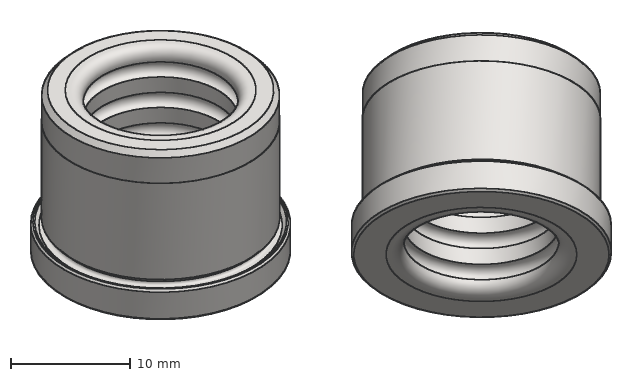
import cadquery as cq

total_height = 16.0
flange_radius = 10.9
flange_height = 3.0
flange_chamfer = 0.2

body_radius = 10.0
lead_radius = 9.98
lead_length = 3.0
body_chamfer = 0.5

undercut_outer_radius = 10.55
undercut_inner_radius = 10.2
undercut_depth = 0.3
undercut_fillet = 0.3

liner_radius = 8.0
bore_radius = 6.5
mouth_round = 1.0
groove_count = 5
groove_pitch = 3.0
groove_radius = 0.75


def revolve_about_z(profile):
    """Turn a closed radius-height profile once around the Z axis."""
    return profile.revolve(360, (0, 0, 0), (0, 1, 0))


def make_sleeve():
    """Flanged sleeve with a plain bore for the liner."""
    neck_radius = body_radius - body_chamfer
    undercut_floor = flange_height - undercut_depth
    lead_bottom = total_height - lead_length
    profile = (
        cq.Workplane("XZ")
        .moveTo(liner_radius, 0)
        .lineTo(flange_radius - flange_chamfer, 0)
        .lineTo(flange_radius, flange_chamfer)
        .lineTo(flange_radius, flange_height - flange_chamfer)
        .lineTo(flange_radius - flange_chamfer, flange_height)
        .lineTo(undercut_outer_radius, flange_height)
        .lineTo(undercut_inner_radius, undercut_floor)
        .lineTo(neck_radius + undercut_fillet, undercut_floor)
        .radiusArc((neck_radius, undercut_floor + undercut_fillet), undercut_fillet)
        .lineTo(body_radius, undercut_floor + undercut_fillet + body_chamfer)
        .lineTo(body_radius, lead_bottom)
        .lineTo(lead_radius, lead_bottom)
        .lineTo(lead_radius, total_height - body_chamfer)
        .lineTo(lead_radius - body_chamfer, total_height)
        .lineTo(liner_radius, total_height)
        .close()
    )
    return revolve_about_z(profile)


def make_liner():
    """Liner filling the sleeve, with round grooves evenly spaced along its bore."""
    mouth_radius = bore_radius + mouth_round
    top_groove = total_height / 2 + groove_pitch * (groove_count - 1) / 2
    profile = (
        cq.Workplane("XZ")
        .moveTo(mouth_radius, 0)
        .lineTo(liner_radius, 0)
        .lineTo(liner_radius, total_height)
        .lineTo(mouth_radius, total_height)
        .radiusArc((bore_radius, total_height - mouth_round), -mouth_round)
    )
    for index in range(groove_count):
        middle = top_groove - index * groove_pitch
        profile = profile.lineTo(bore_radius, middle + groove_radius).threePointArc(
            (bore_radius + groove_radius, middle), (bore_radius, middle - groove_radius)
        )
    profile = (
        profile.lineTo(bore_radius, mouth_round)
        .radiusArc((mouth_radius, 0), -mouth_round)
        .close()
    )
    return revolve_about_z(profile)


sleeve = make_sleeve()
liner = make_liner()

result = cq.Compound.makeCompound([sleeve.val(), liner.val()])